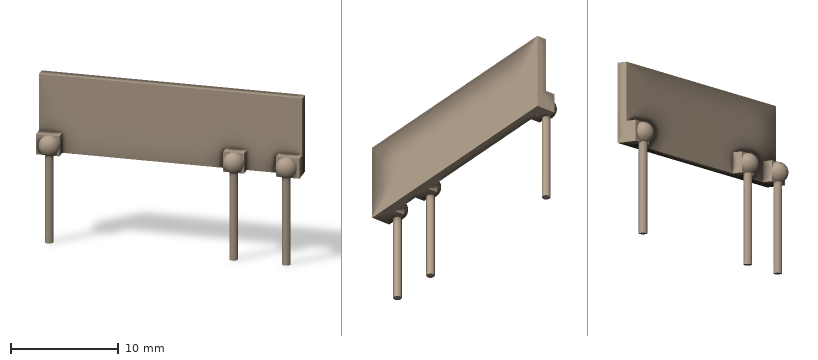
import cadquery as cq

pitch = 2.54
board_length = 10 * pitch
board_height = 3 * pitch
board_thickness = 1.0

first_pin_x = pitch / 2
last_pin_x = board_length - pitch / 2
middle_pin_x = last_pin_x - 2 * pitch

pad_depth = 1.0
ball_radius = 1.0
pad_height = 2 * ball_radius
pad_half_width = 1.0
pad_front_y = -pad_depth
ball_center_z = pad_height / 2
pin_diameter = 0.8
pin_drop = 8.6

pad_spans = {
    first_pin_x: (0, first_pin_x + pad_half_width),
    middle_pin_x: (middle_pin_x - pad_half_width, middle_pin_x + pad_half_width),
    last_pin_x: (last_pin_x - pad_half_width, board_length),
}


def make_board():
    return cq.Workplane("XY").box(board_length, board_thickness, board_height, centered=False)


def make_pin(pin_x):
    """Round pin rising from its free end to the centre of the solder ball."""
    return (
        cq.Workplane("XY", origin=(pin_x, pad_front_y, -pin_drop))
        .circle(pin_diameter / 2)
        .extrude(pin_drop + ball_center_z)
    )


def make_pad(left_x, right_x, pin):
    """Block on the board's front face, grooved for the back half of the pin."""
    block = cq.Workplane("XY", origin=(left_x, pad_front_y, 0)).box(
        right_x - left_x, pad_depth, pad_height, centered=False
    )
    return block.cut(pin)


def make_solder_ball(pin_x, pin):
    """Half ball on the pad's front face, grooved for the front half of the pin."""
    ball_center = (pin_x, pad_front_y, ball_center_z)
    ball = cq.Workplane("XY", origin=ball_center).sphere(ball_radius)
    front_half = cq.Workplane("XY", origin=ball_center).box(
        2 * ball_radius, ball_radius, 2 * ball_radius, centered=(True, False, True)
    ).translate((0, -ball_radius, 0))
    return ball.intersect(front_half).cut(pin)


board = make_board()
bodies = [board.val()]
for pin_x, (left_x, right_x) in pad_spans.items():
    pin = make_pin(pin_x)
    pad = make_pad(left_x, right_x, pin)
    solder_ball = make_solder_ball(pin_x, pin)
    bodies += [pin.val(), *pad.vals(), *solder_ball.vals()]

result = cq.Compound.makeCompound(bodies)